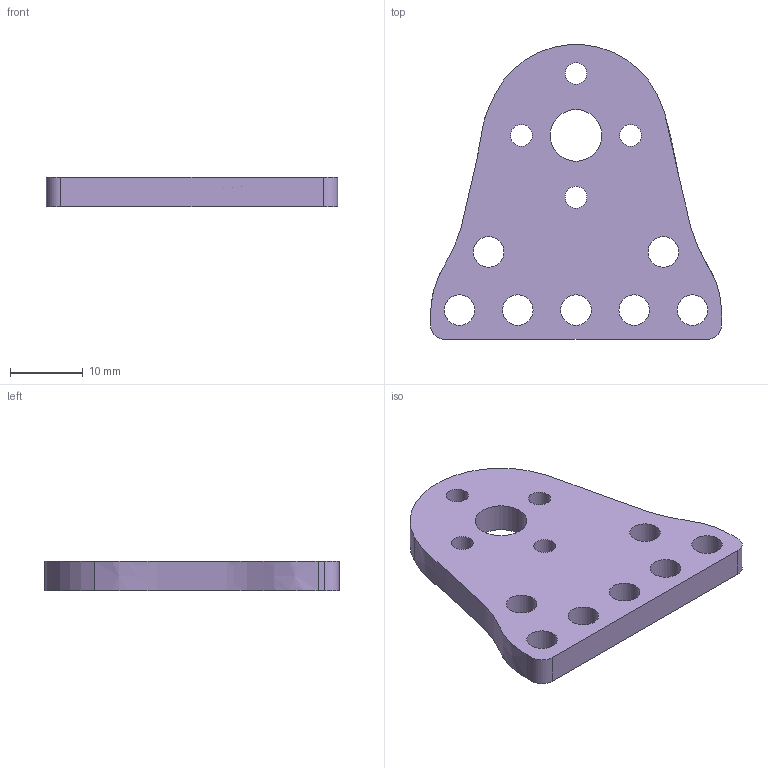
import cadquery as cq
import math

thickness = 4.0
base_width = 40.0
half_width = base_width / 2
corner_radius = 2.0

crown_radius = 12.5
bore_y = 28.0
crown_end_angle = math.radians(27.0)

side_wall_top_y = 2.9
flank_points = [(13.0, 27.9), (14.36, 21.3), (16.05, 14.5), (17.2, 11.7), (18.7, 9.0)]

bore_diameter = 7.1
screw_diameter = 3.0
screw_offset_x = 7.5
screw_offset_y = 8.5

grid_pitch = 8.0
mount_diameter = 4.2
base_row_count = 5
base_row_y = grid_pitch / 2
upper_row_y = base_row_y + grid_pitch
upper_hole_x = 1.5 * grid_pitch


def mirror_x(points):
    return [(-x, y) for x, y in points]


def make_plate():
    cos_end = math.cos(crown_end_angle)
    sin_end = math.sin(crown_end_angle)
    crown_end = (crown_radius * cos_end, bore_y + crown_radius * sin_end)
    crown_top = (0, bore_y + crown_radius)
    side_wall_top = (half_width, side_wall_top_y)

    down_right_flank = [*flank_points, side_wall_top]
    up_left_flank = mirror_x([*reversed(flank_points), crown_end])

    outline = (
        cq.Workplane("XY")
        .moveTo(-half_width, 0)
        .lineTo(-half_width, side_wall_top_y)
        .spline(up_left_flank, tangents=[(0, 1), (sin_end, cos_end)], includeCurrent=True)
        .threePointArc(crown_top, crown_end)
        .spline(down_right_flank, tangents=[(sin_end, -cos_end), (0, -1)], includeCurrent=True)
        .lineTo(half_width, 0)
        .close()
    )
    return outline.extrude(thickness).edges("|Z").edges("<Y").fillet(corner_radius)


def drill(body, centres, diameter):
    cutters = cq.Workplane("XY").pushPoints(centres).circle(diameter / 2).extrude(thickness)
    return body.cut(cutters)


screw_centres = [
    (screw_offset_x, bore_y),
    (-screw_offset_x, bore_y),
    (0, bore_y + screw_offset_y),
    (0, bore_y - screw_offset_y),
]

base_row_start_x = -grid_pitch * (base_row_count - 1) / 2
base_row_centres = [(base_row_start_x + i * grid_pitch, base_row_y) for i in range(base_row_count)]
upper_row_centres = [(-upper_hole_x, upper_row_y), (upper_hole_x, upper_row_y)]

plate = make_plate()
plate = drill(plate, [(0, bore_y)], bore_diameter)
plate = drill(plate, screw_centres, screw_diameter)
result = drill(plate, base_row_centres + upper_row_centres, mount_diameter)